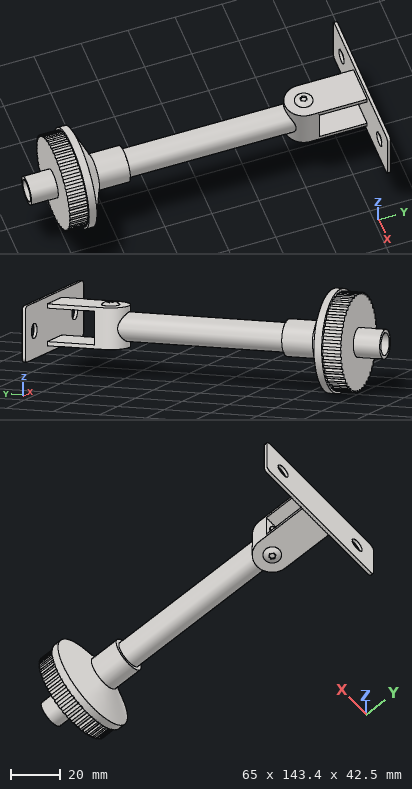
import cadquery as cq

overall_length = 143.4
back_y = overall_length / 2
front_y = -overall_length / 2

plate_width = 65.0
plate_height = 23.0
plate_thickness = 1.5
plate_corner_radius = 2.0
plate_hole_diameter = 6.0
plate_hole_spacing = 45.0
plate_front_y = back_y - plate_thickness

fork_width = 16.0
fork_height = 17.0
fork_arm_thickness = 1.7
block_offset = 21.6
round_offset = 25.5
boss_height = 0.5
fork_radius = fork_width / 2
block_back_y = back_y - block_offset
round_y = back_y - round_offset
block_tip_y = round_y - fork_radius

tube_diameter = 12.0
bore_diameter = 9.2
bore_overrun = 0.25

head_diameter = 7.5
head_height = 1.1
head_top_diameter = 3.2
head_bulge = 0.1
socket_across_corners = 2.9
socket_depth = 0.9

sleeve_diameter = 15.3
sleeve_length = 13.2
cone_length = 5.9
rim_diameter = 42.5
rim_length = 3.3
knob_diameter = 40.4
knob_length = 7.7
knob_offset = 11.3
groove_count = 47
groove_radius = 0.7
first_groove_angle = 90
knob_front_y = front_y + knob_offset
knob_back_y = knob_front_y + knob_length
rim_back_y = knob_back_y + rim_length
cone_back_y = rim_back_y + cone_length
sleeve_back_y = cone_back_y + sleeve_length


def rod_along_y(diameter, start_y, end_y):
    """Solid cylinder on the tube axis between two Y positions."""
    return cq.Workplane("XZ", origin=(0, start_y, 0)).circle(diameter / 2).extrude(start_y - end_y)


def make_plate():
    """Flat plate with rounded corners and a hole near each end."""
    blank = (
        cq.Workplane("XZ", origin=(0, back_y, 0))
        .rect(plate_width, plate_height)
        .extrude(plate_thickness)
        .edges("|Y")
        .fillet(plate_corner_radius)
    )
    holes = (
        cq.Workplane("XZ", origin=(0, back_y, 0))
        .rarray(plate_hole_spacing, 1.5, 2, 1)
        .circle(plate_hole_diameter / 2)
        .extrude(plate_thickness)
    )
    return blank.cut(holes)


def fork_blank():
    """Fork outline at full height, before the gap between the arms is cut."""
    return (
        cq.Workplane("XY", origin=(0, 0, -fork_height / 2))
        .moveTo(-fork_radius, plate_front_y)
        .lineTo(-fork_radius, round_y)
        .threePointArc((0, block_tip_y), (fork_radius, round_y))
        .lineTo(fork_radius, plate_front_y)
        .close()
        .extrude(fork_height)
    )


def make_fork():
    """Fork with a low round boss on the block, between the arms."""
    gap_length = plate_front_y - block_back_y
    gap = (
        cq.Workplane("XY", origin=(0, block_back_y + gap_length / 2, 0))
        .box(fork_width, gap_length, fork_height - 2 * fork_arm_thickness)
    )
    boss = rod_along_y(tube_diameter, block_back_y, block_back_y + boss_height)
    return fork_blank().cut(gap).union(boss)


def make_tube():
    """Tube whose bore just breaks through the saddled end."""
    rod = rod_along_y(tube_diameter, front_y, round_y)
    bore = rod_along_y(bore_diameter, front_y, block_tip_y + bore_overrun)
    return rod.cut(bore).cut(fork_blank())


def make_screw_heads():
    """Domed head with a hexagon socket, one on the outside of each fork arm."""
    head_radius = head_diameter / 2
    top_radius = head_top_diameter / 2
    dome_middle = ((head_radius + top_radius) / 2 + head_bulge, head_height / 2 + head_bulge)
    dome = (
        cq.Workplane("XZ")
        .lineTo(head_radius, 0)
        .threePointArc(dome_middle, (top_radius, head_height))
        .lineTo(0, head_height)
        .close()
        .revolve(360, (0, 0, 0), (0, 1, 0))
    )
    socket = (
        cq.Workplane("XY", origin=(0, 0, head_height))
        .polygon(6, socket_across_corners)
        .extrude(-socket_depth)
    )
    top_head = dome.cut(socket).translate((0, round_y, fork_height / 2))
    heads = []
    for flip_angle in (0, 180):
        heads.append(top_head.rotate((0, round_y, 0), (0, round_y + 1.5, 0), flip_angle))
    return heads


def make_hub():
    """Sleeve, cone and rim turned in one piece, bored for the tube."""
    return (
        cq.Workplane("XY")
        .moveTo(tube_diameter / 2, knob_back_y)
        .lineTo(rim_diameter / 2, knob_back_y)
        .lineTo(rim_diameter / 2, rim_back_y)
        .lineTo(sleeve_diameter / 2, cone_back_y)
        .lineTo(sleeve_diameter / 2, sleeve_back_y)
        .lineTo(tube_diameter / 2, sleeve_back_y)
        .close()
        .revolve(360, (0, 0, 0), (0, 1, 0))
    )


def make_knob():
    """Disc with round grip grooves around its edge."""
    disc = rod_along_y(knob_diameter, knob_front_y, knob_back_y)
    grooves = (
        cq.Workplane("XZ", origin=(0, knob_front_y, 0))
        .polarArray(knob_diameter / 2, first_groove_angle, 360, groove_count)
        .circle(groove_radius)
        .extrude(-knob_length)
    )
    tube_hole = rod_along_y(tube_diameter, knob_front_y, knob_back_y)
    return disc.cut(grooves).cut(tube_hole)


plate = make_plate()
fork = make_fork()
tube = make_tube()
screw_heads = make_screw_heads()
hub = make_hub()
knob = make_knob()

result = cq.Compound.makeCompound([
    plate.val(),
    fork.val(),
    tube.val(),
    *[head.val() for head in screw_heads],
    hub.val(),
    knob.val(),
])